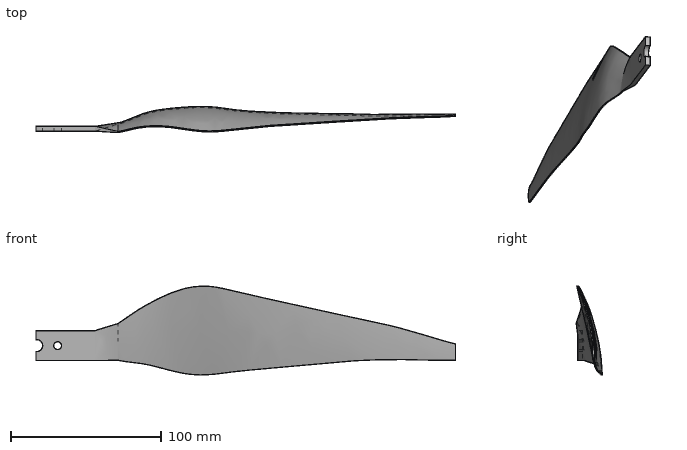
import cadquery as cq

SHANK_LENGTH = 39.5
SHANK_HEIGHT = 20.0
SHANK_THICKNESS = 3.4
HOLE_X = 14.5
HOLE_DIAMETER = 5.0
NOTCH_CENTRE_X = 0.5
NOTCH_RADIUS = 4.0
NOTCH_MOUTH_HEIGHT = 6.7

TOTAL_LENGTH = 279.5
ROOT_X = 54.8
EDGE_THICKNESS = 0.8
CREST_POSITION = 0.33
BACK_BULGE = 0.054
FRONT_BULGE = 0.015

BLADE_STATIONS = [
    (ROOT_X, (-2.2, 14.8), (3.5, -9.8)),
    (68.5, (0.8, 24.0), (8.7, -11.7)),
    (83.8, (1.7, 32.5), (12.5, -15.0)),
    (97.8, (0.0, 37.7), (14.0, -18.5)),
    (111.8, (-1.7, 39.7), (14.5, -19.5)),
    (128.5, (-0.8, 37.2), (12.9, -18.0)),
    (156.5, (2.0, 30.7), (10.5, -15.0)),
    (195.5, (4.5, 22.0), (9.5, -11.5)),
    (226.3, (6.5, 15.6), (9.0, -9.5)),
    (251.5, (7.5, 9.2), (9.0, -9.5)),
    (TOTAL_LENGTH, (8.7, 1.0), (9.0, -9.8)),
]


def make_shank():
    """Rectangular plate with a pin hole and a rounded notch in its free end."""
    plate = cq.Workplane("XY").box(
        SHANK_LENGTH, SHANK_THICKNESS, SHANK_HEIGHT, centered=(False, True, True)
    )
    through_depth = 2 * SHANK_THICKNESS
    hole = (
        cq.Workplane("XZ")
        .center(HOLE_X, 0)
        .circle(HOLE_DIAMETER / 2)
        .extrude(through_depth / 2, both=True)
    )
    notch = (
        cq.Workplane("XZ")
        .center(NOTCH_CENTRE_X, 0)
        .circle(NOTCH_RADIUS)
        .extrude(through_depth / 2, both=True)
    )
    mouth = cq.Workplane("XY").box(2 * NOTCH_CENTRE_X, through_depth, NOTCH_MOUTH_HEIGHT)
    return plate.cut(hole).cut(notch).cut(mouth)


def shank_section():
    """Rectangular end of the shank, where the neck starts."""
    return (
        cq.Workplane("YZ", origin=(SHANK_LENGTH, 0, 0))
        .rect(SHANK_THICKNESS, SHANK_HEIGHT)
        .val()
    )


def blade_section(x, upper, lower):
    """Cambered section: nearly flat front, bulging back and two thin edges."""
    half_edge = EDGE_THICKNESS / 2
    height = upper[1] - lower[1]
    crest_y = lower[0] + CREST_POSITION * (upper[0] - lower[0])
    crest_z = lower[1] + CREST_POSITION * height
    front_crest = (crest_y - half_edge - FRONT_BULGE * height, crest_z)
    back_crest = (crest_y + half_edge + BACK_BULGE * height, crest_z)
    return (
        cq.Workplane("YZ", origin=(x, 0, 0))
        .moveTo(lower[0] - half_edge, lower[1])
        .lineTo(lower[0] + half_edge, lower[1])
        .spline([back_crest, (upper[0] + half_edge, upper[1])], includeCurrent=True)
        .lineTo(upper[0] - half_edge, upper[1])
        .spline([front_crest, (lower[0] - half_edge, lower[1])], includeCurrent=True)
        .close()
        .val()
    )


def make_neck():
    """Straight-sided transition from the flat shank to the blade root."""
    root_section = blade_section(*BLADE_STATIONS[0])
    return cq.Workplane(cq.Solid.makeLoft([shank_section(), root_section], True))


def make_blade():
    """Smooth loft through all the blade sections."""
    sections = [blade_section(*station) for station in BLADE_STATIONS]
    return cq.Workplane(cq.Solid.makeLoft(sections))


result = make_shank().union(make_neck()).union(make_blade())